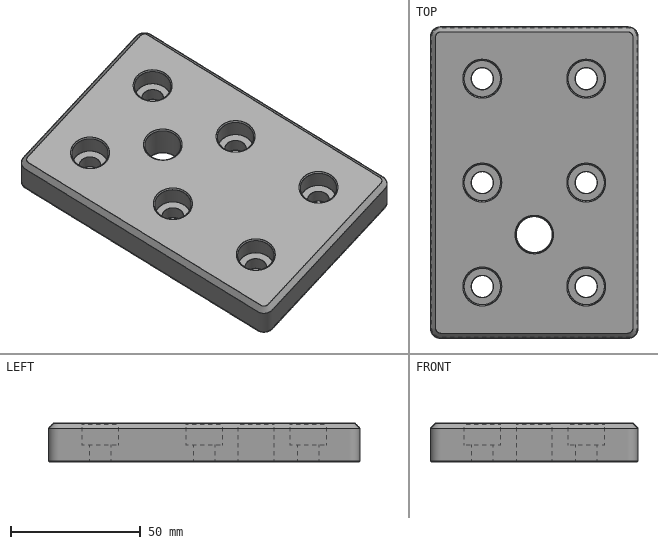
import cadquery as cq

width = 80.0
length = 120.0
thickness = 15.0
corner_radius = 4.0
top_chamfer = 2.0
bottom_chamfer = 0.5

hole_pitch = 40.0
screw_diameter = 8.4
counterbore_diameter = 14.0
counterbore_depth = 8.5

bore_diameter = 13.84
bore_center = (0.0, -hole_pitch / 2)

rim_chamfer = 0.5


def make_plate():
    plate = cq.Workplane("XY").box(width, length, thickness, centered=(True, True, False))
    plate = plate.edges("|Z").fillet(corner_radius)
    plate = plate.faces(">Z").edges().chamfer(top_chamfer)
    return plate.faces("<Z").edges().chamfer(bottom_chamfer)


def countersink_cutter(hole_diameter):
    """45 degree cone that chamfers the rim of a hole at the top face."""
    hole_radius = hole_diameter / 2
    return (
        cq.Workplane("XY")
        .workplane(offset=thickness)
        .circle(hole_radius + rim_chamfer)
        .workplane(offset=-rim_chamfer)
        .circle(hole_radius)
        .loft(ruled=True)
    )


def screw_hole_cutter():
    shank = cq.Workplane("XY").circle(screw_diameter / 2).extrude(thickness)
    head = (
        cq.Workplane("XY")
        .workplane(offset=thickness - counterbore_depth)
        .circle(counterbore_diameter / 2)
        .extrude(counterbore_depth)
    )
    return shank.union(head).union(countersink_cutter(counterbore_diameter))


def bore_cutter():
    bore = cq.Workplane("XY").circle(bore_diameter / 2).extrude(thickness)
    return bore.union(countersink_cutter(bore_diameter))


result = make_plate()
for column in (-0.5, 0.5):
    for row in (-1, 0, 1):
        result = result.cut(screw_hole_cutter().translate((column * hole_pitch, row * hole_pitch, 0)))
result = result.cut(bore_cutter().translate((*bore_center, 0)))